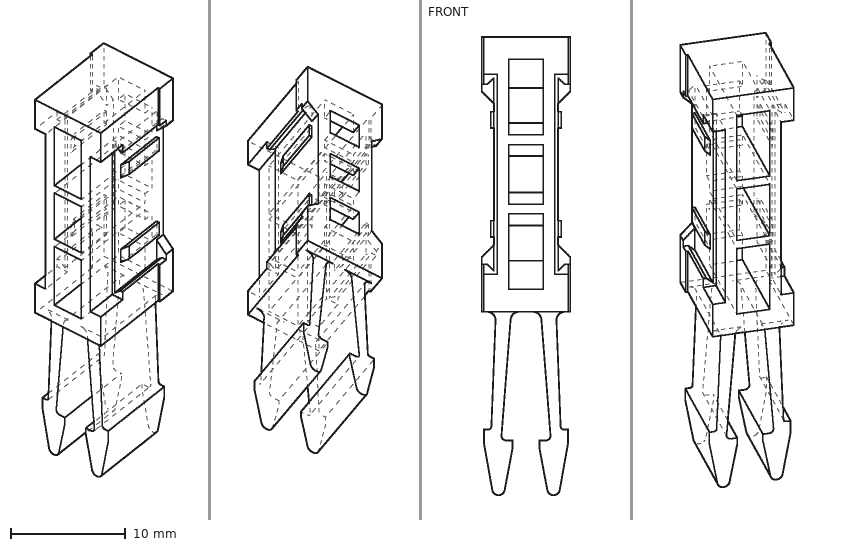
import cadquery as cq
import math

total_height = 39.9
housing_height = 23.95
depth = 9.8

rim_half = 3.87
block_half = 3.67
waist_half = 2.8
front_waist_half = 2.5
rib_half = 3.07

rear_band = 0.95
rim_depth = 1.85
front_step = 6.8

front_end = 3.27
middle_end = 4.15
rear_end = 4.75
lip_width = 0.28
undercut_root = 3.6

rib_end_distance = 6.5
rib_height = 1.45
rib_depth = 5.0
rib_ramp = 0.85

window_width = 3.0
middle_window_height = 5.2
outer_window_height = 6.6
window_bar = 0.85
middle_opening_height = 3.15
outer_opening_height = 3.05
outer_opening_offset = 6.0

leg_depth = 7.82
leg_outer_top = 2.65
leg_outer_bottom = 3.05
leg_inner_top = 1.28
leg_inner_bottom = 2.15
barb_inner = 1.15
barb_outer_top = 5.75
barb_inner_top = 4.8
barb_outer_bend = 4.55
barb_inner_bend = 4.1
tip_center = 2.4
tip_radius = 0.55
tip_taper = math.radians(10.4)
root_fillet = 0.7
outer_barb_fillet = 0.25
inner_barb_fillet = 0.4

housing_bottom = total_height - housing_height
housing_middle = housing_bottom + housing_height / 2
rear_band_y = depth - rear_band
rim_y = depth - rim_depth
front_step_y = depth - front_step
leg_front_y = rear_band_y - leg_depth


def block(half_width, y_front, y_rear, height, z_center=housing_middle):
    """Box centred on X, spanning two depths, centred on a given height."""
    size_y = y_rear - y_front
    return cq.Workplane("XY").box(2 * half_width, size_y, height).translate(
        (0, (y_front + y_rear) / 2, z_center)
    )


def prism(points, y_front, y_rear):
    """Closed X-Z outline extruded from one depth to another."""
    return cq.Workplane("XZ", origin=(0, y_front, 0)).polyline(points).close().extrude(y_front - y_rear)


def mirrored(shape):
    """A shape together with its mirror image across the mid plane of the width."""
    return shape.union(shape.mirror("YZ"))


def top_end():
    """Upper end block: front ledge, undercut middle, and sloped rear corners."""
    top = total_height
    front = block(block_half, 0, front_step_y, front_end, top - front_end / 2)
    lip_x = block_half - lip_width

    def undercut_outline(half_width):
        return [
            (0, top),
            (half_width, top),
            (half_width, top - middle_end),
            (lip_x, top - middle_end),
            (waist_half, top - undercut_root),
            (0, top - undercut_root),
        ]

    middle = mirrored(prism(undercut_outline(block_half), front_step_y, rim_y))
    rim = mirrored(prism(undercut_outline(rim_half), rim_y, rear_band_y))

    slope_end = rear_end + rim_half - waist_half
    rear_outline = [
        (0, top),
        (rim_half, top),
        (rim_half, top - rear_end),
        (waist_half, top - slope_end),
        (0, top - slope_end),
    ]
    rear = mirrored(prism(rear_outline, rear_band_y, depth))
    return front.union(middle).union(rim).union(rear)


def rib():
    """Low side rib with a ramped front end, on the +X side near the top."""
    rib_front_y = rear_band_y - rib_depth
    outline = [
        (0, rear_band_y),
        (rib_half, rear_band_y),
        (rib_half, rib_front_y + rib_ramp),
        (waist_half, rib_front_y),
        (0, rib_front_y),
    ]
    bottom = total_height - rib_end_distance - rib_height
    return cq.Workplane("XY", origin=(0, 0, bottom)).polyline(outline).close().extrude(rib_height)


def housing():
    """Solid housing, symmetric about its mid-height and its mid-width."""
    core = block(front_waist_half, 0, depth, housing_height)
    waist = block(waist_half, front_step_y, depth, housing_height)
    upper = top_end().union(mirrored(rib()))
    lower = upper.mirror("XY", (0, 0, housing_middle))
    return core.union(waist).union(upper).union(lower)


def windows():
    """Cutting bodies of the three windows."""
    half_window = window_width / 2
    outer_window_offset = (middle_window_height + outer_window_height) / 2 + window_bar
    cutters = block(half_window, 0, rear_band_y, middle_window_height)
    cutters = cutters.union(block(half_window, 0, depth, middle_opening_height))
    for side in (-1, 1):
        pocket_z = housing_middle + side * outer_window_offset
        opening_z = housing_middle + side * outer_opening_offset
        cutters = cutters.union(block(half_window, 0, rear_band_y, outer_window_height, pocket_z))
        cutters = cutters.union(block(half_window, 0, depth, outer_opening_height, opening_z))
    return cutters


def leg():
    """Right-hand spring leg with a barb and a round tip."""
    tangent_x = tip_radius * math.cos(tip_taper)
    tangent_z = tip_radius * (1 - math.sin(tip_taper))
    outline = (
        cq.Workplane("XZ", origin=(0, leg_front_y, 0))
        .moveTo(leg_inner_top, housing_bottom)
        .lineTo(leg_outer_top, housing_bottom)
        .lineTo(leg_outer_bottom, barb_outer_top)
        .lineTo(block_half, barb_outer_top)
        .lineTo(block_half, barb_outer_bend)
        .lineTo(tip_center + tangent_x, tangent_z)
        .threePointArc((tip_center, 0), (tip_center - tangent_x, tangent_z))
        .lineTo(barb_inner, barb_inner_bend)
        .lineTo(barb_inner, barb_inner_top)
        .lineTo(leg_inner_bottom, barb_inner_top)
        .close()
    )
    return outline.extrude(-leg_depth)


def fillet_leg_corners(body):
    """Round the inside corners at the root and at the barb of both legs."""
    corners = [
        (leg_outer_top, housing_bottom, root_fillet),
        (leg_inner_top, housing_bottom, root_fillet),
        (leg_outer_bottom, barb_outer_top, outer_barb_fillet),
        (leg_inner_bottom, barb_inner_top, inner_barb_fillet),
    ]
    leg_middle_y = leg_front_y + leg_depth / 2
    for x, z, radius in corners:
        for side in (-1, 1):
            corner = cq.NearestToPointSelector((side * x, leg_middle_y, z))
            body = body.edges("|Y").edges(corner).fillet(radius)
    return body


plug = housing().cut(windows()).union(mirrored(leg()))
result = fillet_leg_corners(plug)